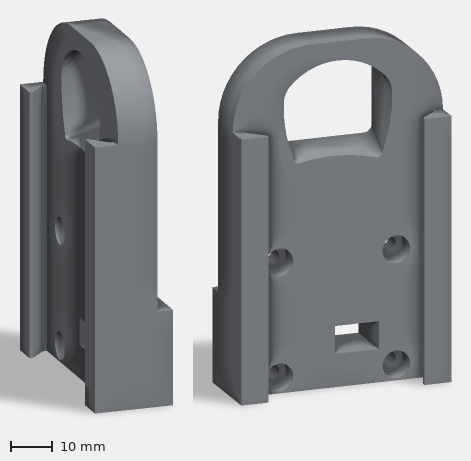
import cadquery as cq
import math

WIDTH = 54.0
HEIGHT = 87.0
TOTAL_DEPTH = 19.95
PLATE_THICKNESS = 10.0
TOP_RADIUS = 20.0

FOOT_DEPTH = 4.0
FOOT_HEIGHT = 24.0

RAIL_HEIGHT = HEIGHT - TOP_RADIUS
RAIL_DEPTH = TOTAL_DEPTH - PLATE_THICKNESS - FOOT_DEPTH
RAIL_ROOT_WIDTH = 2.8
RAIL_LIP_WIDTH = 7.0
RAIL_LIP_THICKNESS = 0.85
RAIL_ROOT_DEPTH = 1.1

HOLE_HALF_SPACING = 15.0
HOLE_HEIGHTS = (4.0, 33.0)
HOLE_DIAMETER = 3.5
COUNTERBORE_DIAMETER = 7.0
COUNTERBORE_DEPTH = 5.0

WINDOW_WIDTH = 11.2
WINDOW_HEIGHT = 7.0
WINDOW_CENTRE_X = 4.9
WINDOW_CENTRE_Z = 11.9

OPENING_TOP_Z = 82.25
SHOULDER_X = 12.4
SHOULDER_Z = 76.9
SHOULDER_BULGE_X = 13.5
SHOULDER_BULGE_Z = 75.0
WIDEST_X = 13.9
WIDEST_Z = 72.4
RIGHT_SIDE_MIDDLE = (13.3, 64.5)
RIGHT_CORNER_START = (11.6, 58.3)
RIGHT_CORNER_MIDDLE = (11.1, 57.1)
RIGHT_CORNER_END = (10.2, 56.7)
FLOOR_MIDDLE = (0.0, 58.3)
LEFT_CORNER_START = (-10.2, 57.4)
LEFT_CORNER_MIDDLE = (-10.9, 57.6)
LEFT_CORNER_END = (-11.3, 58.5)
LEFT_SIDE_MIDDLE = (-13.3, 65.4)

BACK_HALF_WIDTH = SHOULDER_X
BACK_BOTTOM_Z = 60.0
BACK_TOP_Z = 83.0
BACK_BOTTOM_RADIUS = 2.0
BACK_TOP_RADIUS = 3.0

ARC_MIDDLE_INSET = 1 - math.sqrt(0.5)


def plate():
    """Plate with two large rounded top corners."""
    body = cq.Workplane("XY").box(WIDTH, PLATE_THICKNESS, HEIGHT, centered=(True, False, False))
    return body.edges("|Y and >Z").fillet(TOP_RADIUS)


def foot():
    """Block across the lower part of the back face."""
    size = (WIDTH, FOOT_DEPTH, FOOT_HEIGHT)
    block = cq.Workplane("XY").box(*size, centered=(True, False, False))
    return block.translate((0, PLATE_THICKNESS, 0))


def rail(side):
    """Rail on the -X (side = -1) or +X (side = 1) edge, with a sloped undercut behind its lip."""
    outer = side * WIDTH / 2
    root = side * (WIDTH / 2 - RAIL_ROOT_WIDTH)
    lip = side * (WIDTH / 2 - RAIL_LIP_WIDTH)
    profile = [
        (outer, 0),
        (root, 0),
        (root, -RAIL_ROOT_DEPTH),
        (lip, RAIL_LIP_THICKNESS - RAIL_DEPTH),
        (lip, -RAIL_DEPTH),
        (outer, -RAIL_DEPTH),
    ]
    return cq.Workplane("XY").polyline(profile).close().extrude(RAIL_HEIGHT)


def screw_hole(x, z):
    """Through hole counterbored from the front, centred at X = x and Z = z."""
    front = cq.Workplane("XZ", origin=(x, 0, z))
    shank = front.circle(HOLE_DIAMETER / 2).extrude(-(PLATE_THICKNESS + FOOT_DEPTH))
    counterbore = front.circle(COUNTERBORE_DIAMETER / 2).extrude(-COUNTERBORE_DEPTH)
    return shank.union(counterbore)


def window():
    """Cutter for the rectangular window."""
    front = cq.Workplane("XZ", origin=(WINDOW_CENTRE_X, 0, WINDOW_CENTRE_Z))
    return front.rect(WINDOW_WIDTH, WINDOW_HEIGHT).extrude(-(PLATE_THICKNESS + FOOT_DEPTH))


def front_outline(sketch):
    """Domed top, bulging sides that taper downwards, and an arched floor."""
    return (
        sketch.moveTo(-SHOULDER_X, SHOULDER_Z)
        .threePointArc((0, OPENING_TOP_Z), (SHOULDER_X, SHOULDER_Z))
        .threePointArc((SHOULDER_BULGE_X, SHOULDER_BULGE_Z), (WIDEST_X, WIDEST_Z))
        .threePointArc(RIGHT_SIDE_MIDDLE, RIGHT_CORNER_START)
        .threePointArc(RIGHT_CORNER_MIDDLE, RIGHT_CORNER_END)
        .threePointArc(FLOOR_MIDDLE, LEFT_CORNER_START)
        .threePointArc(LEFT_CORNER_MIDDLE, LEFT_CORNER_END)
        .threePointArc(LEFT_SIDE_MIDDLE, (-WIDEST_X, WIDEST_Z))
        .threePointArc((-SHOULDER_BULGE_X, SHOULDER_BULGE_Z), (-SHOULDER_X, SHOULDER_Z))
        .close()
    )


def back_outline(sketch):
    """Rounded rectangle with one edge for each edge of the front outline."""
    top_x = BACK_HALF_WIDTH - BACK_TOP_RADIUS
    top_z = BACK_TOP_Z - BACK_TOP_RADIUS
    top_inset = BACK_TOP_RADIUS * ARC_MIDDLE_INSET
    top_arc_x = BACK_HALF_WIDTH - top_inset
    top_arc_z = BACK_TOP_Z - top_inset
    bottom_x = BACK_HALF_WIDTH - BACK_BOTTOM_RADIUS
    bottom_z = BACK_BOTTOM_Z + BACK_BOTTOM_RADIUS
    bottom_inset = BACK_BOTTOM_RADIUS * ARC_MIDDLE_INSET
    bottom_arc_x = BACK_HALF_WIDTH - bottom_inset
    bottom_arc_z = BACK_BOTTOM_Z + bottom_inset
    return (
        sketch.moveTo(-top_x, BACK_TOP_Z)
        .lineTo(top_x, BACK_TOP_Z)
        .threePointArc((top_arc_x, top_arc_z), (BACK_HALF_WIDTH, top_z))
        .lineTo(BACK_HALF_WIDTH, bottom_z)
        .threePointArc((bottom_arc_x, bottom_arc_z), (bottom_x, BACK_BOTTOM_Z))
        .lineTo(-bottom_x, BACK_BOTTOM_Z)
        .threePointArc((-bottom_arc_x, bottom_arc_z), (-BACK_HALF_WIDTH, bottom_z))
        .lineTo(-BACK_HALF_WIDTH, top_z)
        .threePointArc((-top_arc_x, top_arc_z), (-top_x, BACK_TOP_Z))
        .close()
    )


def finger_opening():
    """Ruled blend from the front outline to the back outline through the plate."""
    front = front_outline(cq.Workplane("XZ"))
    return back_outline(front.workplane(offset=-PLATE_THICKNESS)).loft(ruled=True)


result = plate().union(foot())
for side in (-1, 1):
    result = result.union(rail(side))
    for z in HOLE_HEIGHTS:
        result = result.cut(screw_hole(side * HOLE_HALF_SPACING, z))
result = result.cut(window()).cut(finger_opening())